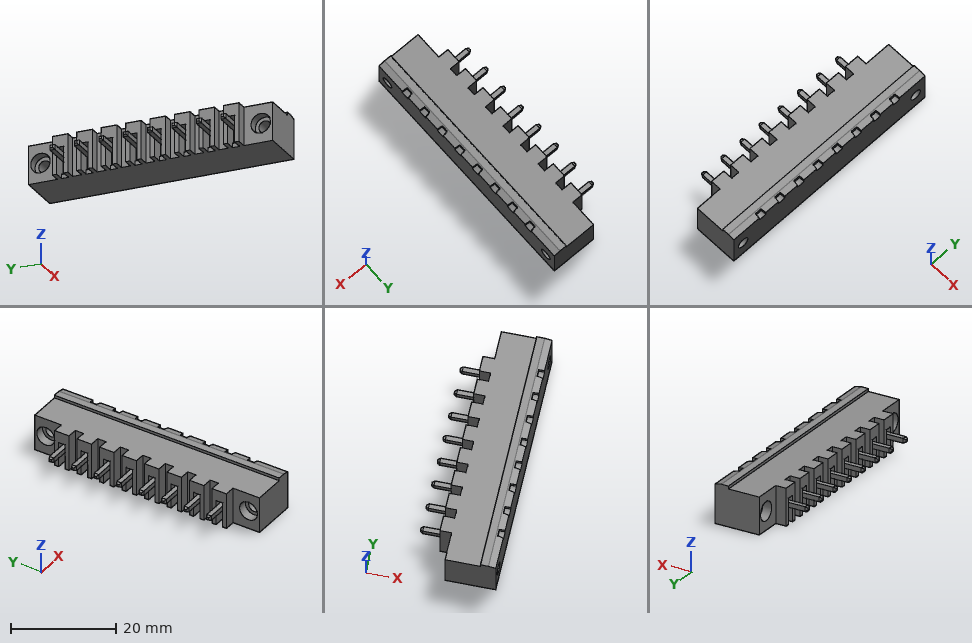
import cadquery as cq


length = 50.8
body_depth = 9.85
body_height = 8.0

total_height = 8.6
ridge_width = 3.0
ridge_flat = 1.6
ridge_front_height = 8.3

pole_count = 8
pitch = 5.1
axis_height = 4.0

tower_width = 3.25
tower_depth = 2.3
web_depth = 0.1

slot_width = 1.4
slot_top = 5.55
sill_height = 0.9
sill_recess = 0.5

pin_width = 1.0
pin_projection = 4.05
tip_width = 0.5
tip_length = 0.5

notch_length = 1.1
notch_inner_width = 1.4
notch_outer_width = 1.75
notch_side_depth = 0.6
notch_floor_fall = 0.25
notch_dish = 0.15

hole_diameter = 2.5
counterbore_diameter = 4.0
counterbore_depth = 2.0
hole_edge_distance = 2.5

pole_places = [(i - (pole_count - 1) / 2) * pitch for i in range(pole_count)]
tower_face = -tower_depth
row_width = (pole_count - 1) * pitch + tower_width


def block(x_start, x_end, y_center, y_width, z_bottom, z_top):
    """Box between two X places and two heights, centred on a Y place."""
    size = (x_end - x_start, y_width, z_top - z_bottom)
    corner = (x_start, y_center - y_width / 2, z_bottom)
    return cq.Workplane("XY").box(*size, centered=False).translate(corner)


def housing():
    """Long body with the ridge, extruded along Y."""
    ridge_start = body_depth - ridge_width
    outline = [
        (0, 0),
        (body_depth, 0),
        (body_depth, ridge_front_height),
        (ridge_start + ridge_flat, total_height),
        (ridge_start, total_height),
        (ridge_start, body_height),
        (0, body_height),
    ]
    return cq.Workplane("XZ").polyline(outline).close().extrude(length / 2, both=True)


def tower(y):
    return block(tower_face, 0, y, tower_width, 0, body_height)


def slot(y):
    """Slot through the tower, deepened into the body above the sill."""
    through_tower = block(tower_face, 0, y, slot_width, 0, slot_top)
    return through_tower.union(block(tower_face, sill_recess, y, slot_width, sill_height, slot_top))


def pin(y):
    """Pin rooted in the back wall of the slot, tapering at its free end."""
    tip_base = tower_face - pin_projection + tip_length
    half_width = pin_width / 2
    shank = block(tip_base, sill_recess, y, pin_width, axis_height - half_width, axis_height + half_width)
    tip = (
        cq.Workplane("YZ", origin=(tip_base, y, axis_height))
        .rect(pin_width, pin_width)
        .workplane(offset=-tip_length)
        .rect(tip_width, tip_width)
        .loft(combine=True)
    )
    return shank.union(tip)


def notch(y):
    """Steep-sided notch with a dished floor, widening and falling toward the mating face."""
    inner_half = notch_inner_width / 2
    outer_half = notch_outer_width / 2
    inner_side = ridge_front_height - notch_side_depth + notch_floor_fall
    outer_side = ridge_front_height - notch_side_depth
    return (
        cq.Workplane("YZ", origin=(body_depth - notch_length, y, 0))
        .moveTo(-inner_half, total_height)
        .lineTo(-inner_half, inner_side)
        .threePointArc((0, inner_side - notch_dish), (inner_half, inner_side))
        .lineTo(inner_half, total_height)
        .close()
        .workplane(offset=notch_length)
        .moveTo(-outer_half, total_height)
        .lineTo(-outer_half, outer_side)
        .threePointArc((0, outer_side - notch_dish), (outer_half, outer_side))
        .lineTo(outer_half, total_height)
        .close()
        .loft(ruled=True)
    )


def flange_hole(y):
    """Through hole with a counterbore entering from the tower side."""
    start = cq.Workplane("YZ", origin=(0, y, axis_height))
    hole = start.circle(hole_diameter / 2).extrude(body_depth)
    counterbore = start.circle(counterbore_diameter / 2).extrude(counterbore_depth)
    return hole.union(counterbore)


result = housing().union(block(-web_depth, 0, 0, row_width, 0, body_height))

for place in pole_places:
    result = result.union(tower(place)).cut(slot(place)).cut(notch(place)).union(pin(place))

hole_place = length / 2 - hole_edge_distance
for place in (-hole_place, hole_place):
    result = result.cut(flange_hole(place))